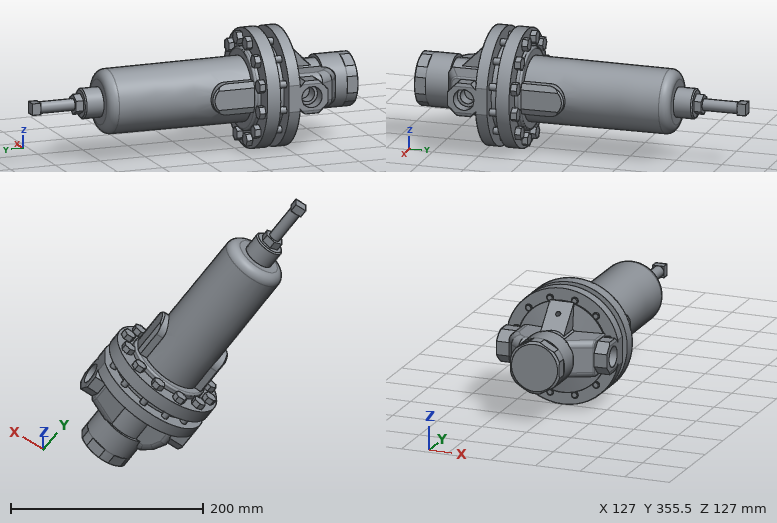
import cadquery as cq
import math


LENGTH = 355.5
CAP_FLATS_END = 12.8
CAP_END = 38.0
CONE_FRONT = 73.2
CONE_BACK = 76.8
BODY_FLANGE_FRONT = 78.5
BODY_FLANGE_BACK = 91.0
BONNET_FLANGE_FRONT = 101.0
BONNET_FLANGE_BACK = 115.5
BONNET_END = 279.7
COLLAR_END = 300.0
NUT_END = 308.2
SQUARE_START = 346.2

FLANGE_DIAMETER = 127.0
SPACER_DIAMETER = 95.3
SPACER_LIP_DIAMETER = 97.5
SPACER_LIP_HEIGHT = 1.0
CAP_DIAMETER = 57.2
CAP_CHAMFER_DEPTH = 1.5
CAP_CHAMFER_WIDTH = 3.0
NECK_DIAMETER = 50.5
CONE_DIAMETER = 100.2
HUB_DIAMETER = 89.0
HUB_HEIGHT = 6.0
HUB_FILLET = 2.5
BONNET_FRONT_DIAMETER = 69.5
BONNET_BACK_DIAMETER = 68.2
BONNET_FILLET = 10.3
COLLAR_DIAMETER = 32.0
COLLAR_CHAMFER = 1.5
SCREW_DIAMETER = 12.5

HEX_SIDES = 6
CAP_FLAT_WIDTH = 54.5
NUT_FLAT_WIDTH = 19.0
SQUARE_WIDTH = 12.5

BOLT_COUNT = 12
BOLT_CIRCLE_DIAMETER = 106.5
BOLT_DIAMETER = 7.5
BOLT_TIP_CHAMFER = 0.9
BOLT_HEAD_FLAT_WIDTH = 12.5
BOLT_HEAD_HEIGHT = 6.5

PORT_Y = 65.5
PORT_SIDES = 8
PORT_FLAT_WIDTH = 35.5
PORT_SPAN = 123.7
PORT_BORE_DIAMETER = 22.5
PORT_BORE_DEPTH = 13.5
PORT_PASSAGE_DIAMETER = 16.0
PORT_PASSAGE_DEPTH = 28.5

ARM_END_X = 47.5
ARM_HEIGHT = 39.8
INLET_FILLET = 10.0
INLET_CORNER_Y = 48.0
INLET_KNEE_X = 39.8
INLET_KNEE_Y = 35.0
INLET_TOE_X = 28.5
INLET_TOE_Y = 26.3
OUTLET_FILLET = 6.5
OUTLET_END_FILLET = 1.8
OUTLET_CORNER_Y = 47.3
OUTLET_ROOT_Y = 25.2

GUSSET_WIDTH = 26.5
GUSSET_TOP = 49.8
GUSSET_HOLE_Z = 39.0
GUSSET_HOLE_DIAMETER = 5.5
GUSSET_HOLE_DEPTH = 14.2

LUG_TIP_Y = 167.5
LUG_HEIGHT = 33.5
LUG_SPAN = 82.8
LUG_BEVEL_DEPTH = 3.0
LUG_BEVEL_HEIGHT = 6.5
LUG_RIM_CHAMFER = 1.8


def along_y(y):
    """Workplane at station y that extrudes toward +Y; local x is Z and local y is X."""
    return cq.Workplane(cq.Plane(origin=(0, y, 0), xDir=(0, 0, 1), normal=(0, 1, 0)))


def disc(diameter, start, end):
    return along_y(start).circle(diameter / 2).extrude(end - start)


def polygon_bar(sides, flat_width, start, end, turn=0):
    """Regular bar along Y with one corner at +Z, then turned about Y by the given angle."""
    corner_diameter = flat_width / math.cos(math.pi / sides)
    bar = along_y(start).polygon(sides, corner_diameter).extrude(end - start)
    return bar.rotate((0, 0, 0), (0, 1, 0), turn)


def turned(profile):
    """Solid of revolution about Y from (radius, y) points."""
    points = [(y, radius) for radius, y in profile]
    return cq.Workplane("YZ").polyline(points).close().revolve(360, (0, 0, 0), (1, 0, 0))


def bottom_cap():
    radius = CAP_DIAMETER / 2
    nose = turned(
        [
            (0, 0),
            (radius - CAP_CHAMFER_WIDTH, 0),
            (radius, CAP_CHAMFER_DEPTH),
            (radius, CAP_FLATS_END),
            (0, CAP_FLATS_END),
        ]
    )
    flats = polygon_bar(HEX_SIDES, CAP_FLAT_WIDTH, -CAP_FLATS_END, CAP_END)
    return nose.intersect(flats).union(disc(CAP_DIAMETER, CAP_FLATS_END, CAP_END))


def body_core():
    neck = disc(NECK_DIAMETER, CAP_END, CONE_FRONT)
    cone = turned(
        [
            (0, CONE_FRONT),
            (NECK_DIAMETER / 2, CONE_FRONT),
            (CONE_DIAMETER / 2, CONE_BACK),
            (CONE_DIAMETER / 2, BODY_FLANGE_FRONT),
            (0, BODY_FLANGE_FRONT),
        ]
    )
    return neck.union(cone)


def spacer():
    lip = disc(SPACER_LIP_DIAMETER, BONNET_FLANGE_FRONT - SPACER_LIP_HEIGHT, BONNET_FLANGE_FRONT)
    return disc(SPACER_DIAMETER, BODY_FLANGE_BACK, BONNET_FLANGE_FRONT).union(lip)


def arm(profile):
    """Flat plate centred on Z = 0 with the given XY outline."""
    return cq.Workplane("XY").polyline(profile).close().extrude(ARM_HEIGHT / 2, both=True)


def inlet_arm():
    profile = [
        (0, BODY_FLANGE_FRONT),
        (-ARM_END_X, BODY_FLANGE_FRONT),
        (-ARM_END_X, INLET_CORNER_Y),
        (-INLET_KNEE_X, INLET_KNEE_Y),
        (-INLET_TOE_X, INLET_TOE_Y),
        (0, INLET_TOE_Y),
    ]
    outer_edges = arm(profile).faces("<Z or >Z").edges("not(>X or >Y)")
    return outer_edges.fillet(INLET_FILLET)


def outlet_arm():
    profile = [
        (0, BODY_FLANGE_FRONT),
        (ARM_END_X, BODY_FLANGE_FRONT),
        (ARM_END_X, OUTLET_CORNER_Y),
        (0, OUTLET_ROOT_Y),
    ]
    sloped_edges = arm(profile).faces("<Z or >Z").edges("not(|X or |Y)")
    rounded = sloped_edges.fillet(OUTLET_FILLET)
    return rounded.faces(">X").edges("|Y").fillet(OUTLET_END_FILLET)


def port_boss(side):
    """Octagonal boss reaching past the end face of its port."""
    boss = (
        cq.Workplane("YZ")
        .center(PORT_Y, 0)
        .polygon(PORT_SIDES, PORT_FLAT_WIDTH / math.cos(math.pi / PORT_SIDES))
        .extrude(side * FLANGE_DIAMETER)
    )
    half_step = 360 / PORT_SIDES / 2
    return boss.rotate((0, PORT_Y, 0), (1, PORT_Y, 0), half_step)


def flange_with_ports():
    """Body flange and port bosses, rounded to the flange diameter and cut flat at both sides."""
    flange = disc(FLANGE_DIAMETER, BODY_FLANGE_FRONT, BODY_FLANGE_BACK)
    blank = flange.union(port_boss(-1)).union(port_boss(1))
    side_trim = cq.Workplane("XY").box(PORT_SPAN, 2 * LENGTH, 2 * FLANGE_DIAMETER)
    return blank.intersect(disc(FLANGE_DIAMETER, CAP_END, BODY_FLANGE_BACK)).intersect(side_trim)


def port_bore(side):
    mouth = cq.Workplane("YZ").workplane(offset=side * PORT_SPAN / 2).center(PORT_Y, 0)
    bore = mouth.circle(PORT_BORE_DIAMETER / 2).extrude(-side * PORT_BORE_DEPTH)
    passage = mouth.circle(PORT_PASSAGE_DIAMETER / 2).extrude(-side * PORT_PASSAGE_DEPTH)
    return bore.union(passage)


def gusset():
    return (
        cq.Workplane("YZ")
        .moveTo(BODY_FLANGE_FRONT, GUSSET_TOP)
        .lineTo(CONE_BACK, GUSSET_TOP)
        .lineTo(CONE_BACK - GUSSET_TOP, 0)
        .lineTo(BODY_FLANGE_FRONT, 0)
        .close()
        .extrude(GUSSET_WIDTH / 2, both=True)
    )


def gusset_hole():
    """Blind hole square to the sloping face of the gusset."""
    mouth_y = CONE_BACK - (GUSSET_TOP - GUSSET_HOLE_Z)
    mouth = cq.Plane(origin=(0, mouth_y, GUSSET_HOLE_Z), xDir=(1, 0, 0), normal=(0, 1, -1))
    return cq.Workplane(mouth).circle(GUSSET_HOLE_DIAMETER / 2).extrude(GUSSET_HOLE_DEPTH)


def bonnet():
    flange = disc(FLANGE_DIAMETER, BONNET_FLANGE_FRONT, BONNET_FLANGE_BACK)
    hub = disc(HUB_DIAMETER, BONNET_FLANGE_BACK, BONNET_FLANGE_BACK + HUB_HEIGHT)
    hub = hub.faces(">Y").edges().fillet(HUB_FILLET)
    shell = turned(
        [
            (0, BONNET_FLANGE_BACK),
            (BONNET_FRONT_DIAMETER / 2, BONNET_FLANGE_BACK),
            (BONNET_BACK_DIAMETER / 2, BONNET_END),
            (0, BONNET_END),
        ]
    )
    shell = shell.faces(">Y").edges().fillet(BONNET_FILLET)
    collar = disc(COLLAR_DIAMETER, BONNET_END, COLLAR_END)
    collar = collar.faces(">Y").edges().chamfer(COLLAR_CHAMFER)
    return flange.union(hub).union(shell).union(collar)


def lug():
    """Lug on the +X side: round-ended bar with its two long outer edges bevelled."""
    half_height = LUG_HEIGHT / 2
    face_x = LUG_SPAN / 2
    arc_start_y = LUG_TIP_Y - half_height
    bar = (
        cq.Workplane("YZ")
        .moveTo(BONNET_FLANGE_FRONT, -half_height)
        .lineTo(arc_start_y, -half_height)
        .threePointArc((LUG_TIP_Y, 0), (arc_start_y, half_height))
        .lineTo(BONNET_FLANGE_FRONT, half_height)
        .close()
        .extrude(face_x)
    )
    bar = bar.faces(">X").edges(">Y").chamfer(LUG_RIM_CHAMFER)
    bevelled_section = [
        (0, -half_height),
        (face_x - LUG_BEVEL_DEPTH, -half_height),
        (face_x, LUG_BEVEL_HEIGHT - half_height),
        (face_x, half_height - LUG_BEVEL_HEIGHT),
        (face_x - LUG_BEVEL_DEPTH, half_height),
        (0, half_height),
    ]
    section_bar = cq.Workplane("XZ").polyline(bevelled_section).close().extrude(-LENGTH)
    return bar.intersect(section_bar)


def bolt():
    """Bolt at the +X point of the bolt circle, its tip showing in front of the body flange."""
    shank = disc(BOLT_DIAMETER, CONE_BACK, BONNET_FLANGE_BACK)
    shank = shank.faces("<Y").edges().chamfer(BOLT_TIP_CHAMFER)
    head_end = BONNET_FLANGE_BACK + BOLT_HEAD_HEIGHT
    half_pitch = 360 / BOLT_COUNT / 2
    head = polygon_bar(HEX_SIDES, BOLT_HEAD_FLAT_WIDTH, BONNET_FLANGE_BACK, head_end, -half_pitch)
    return shank.union(head).translate((BOLT_CIRCLE_DIAMETER / 2, 0, 0))


def adjusting_screw():
    nut = polygon_bar(HEX_SIDES, NUT_FLAT_WIDTH, COLLAR_END, NUT_END)
    rod = disc(SCREW_DIAMETER, COLLAR_END, SQUARE_START)
    square = polygon_bar(4, SQUARE_WIDTH, SQUARE_START, LENGTH, 45)
    return nut.union(rod).union(square)


body = bottom_cap().union(body_core()).union(inlet_arm()).union(outlet_arm()).union(gusset())
body = body.union(flange_with_ports())
upper = bonnet().union(spacer()).union(lug()).union(lug().mirror("YZ")).union(adjusting_screw())
regulator = upper.union(body)

for index in range(BOLT_COUNT):
    bolt_angle = (index + 0.5) * 360 / BOLT_COUNT
    regulator = regulator.union(bolt().rotate((0, 0, 0), (0, 1, 0), bolt_angle))

for port_side in (-1, 1):
    regulator = regulator.cut(port_bore(port_side))

result = regulator.cut(gusset_hole())